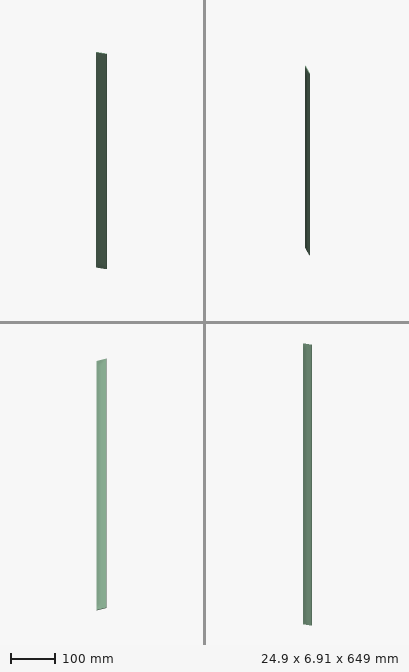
import cadquery as cq
import math

strip_width = 24.99
strip_thickness = 2.0
strip_length = 649.0
bow_radius = 2000.0
tilt_angle = 11.42

half_width = strip_width / 2
half_thickness = strip_thickness / 2
bow_depth = bow_radius - math.sqrt(bow_radius**2 - half_width**2)


def slat_profile():
    """Cross-section with equally bowed broad sides and straight short edges."""
    return (
        cq.Workplane("XY")
        .moveTo(-half_width, -half_thickness)
        .threePointArc((0, -half_thickness - bow_depth), (half_width, -half_thickness))
        .lineTo(half_width, half_thickness)
        .threePointArc((0, half_thickness - bow_depth), (-half_width, half_thickness))
        .close()
    )


slat = slat_profile().extrude(strip_length / 2, both=True)
result = slat.rotate((0, 0, 0), (0, 0, 1), tilt_angle)